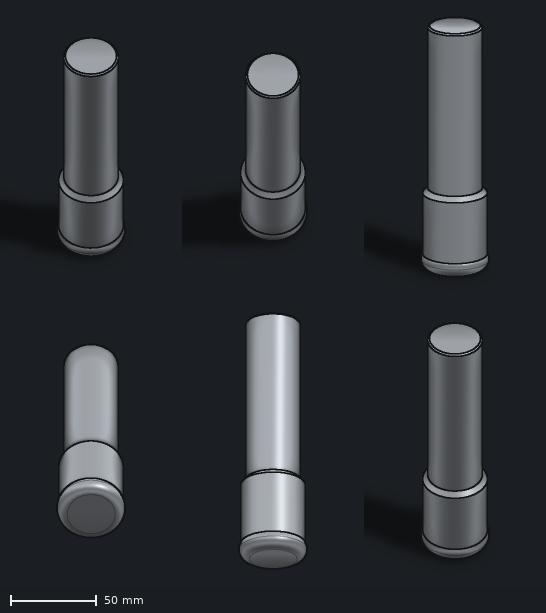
import cadquery as cq
import math

total_height = 150.0
foot_height = 50.0
rim_radius = 40.0 / 2
sleeve_radius = 38.0 / 2
rod_radius = 32.0 / 2
rim_round = 6.0
shoulder_height = 3.0
rod_chamfer = 1.0


def make_foot():
    """Foot with a rounded rim, a plain sleeve and a tapered shoulder ending at the rod."""
    base_radius = rim_radius - rim_round
    diagonal = rim_round * math.sqrt(0.5)
    angle = math.acos((sleeve_radius - base_radius) / rim_round)
    rim_top = rim_round + rim_round * math.sin(angle)
    upper_middle = (
        base_radius + rim_round * math.cos(angle / 2),
        rim_round + rim_round * math.sin(angle / 2),
    )
    profile = (
        cq.Workplane("XZ")
        .lineTo(base_radius, 0)
        .threePointArc((base_radius + diagonal, rim_round - diagonal), (rim_radius, rim_round))
        .threePointArc(upper_middle, (sleeve_radius, rim_top))
        .lineTo(sleeve_radius, foot_height - shoulder_height)
        .lineTo(rod_radius, foot_height)
        .lineTo(0, foot_height)
        .close()
    )
    return profile.revolve(360, (0, 0, 0), (0, 1, 0))


def make_rod():
    """Round rod standing on the foot, chamfered at its free end."""
    return (
        cq.Workplane("XY")
        .workplane(offset=foot_height)
        .circle(rod_radius)
        .extrude(total_height - foot_height)
        .faces(">Z")
        .chamfer(rod_chamfer)
    )


foot = make_foot()
rod = make_rod()
result = cq.Compound.makeCompound([foot.val(), rod.val()])